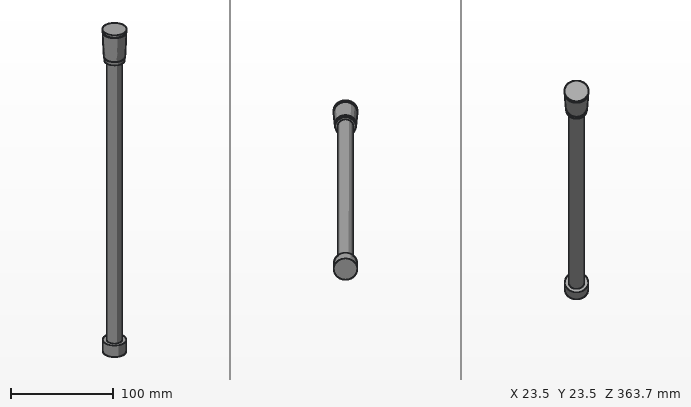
import cadquery as cq

total_length = 363.7
rod_diameter = 15.3

collar_diameter = 23.0
collar_height = 13.0

cap_diameter = 23.5
cap_height = 3.0
groove_diameter = 23.0
groove_width = 0.7
sleeve_top_diameter = 23.3
sleeve_bottom_diameter = 21.0
sleeve_bulge = 0.1
sleeve_length = 27.5
ring_diameter = 20.0
ring_height = 4.0

cap_bottom = total_length - cap_height
sleeve_top = cap_bottom - groove_width
sleeve_bottom = sleeve_top - sleeve_length
ring_bottom = sleeve_bottom - ring_height


def disc(diameter, bottom, top):
    """Solid cylinder on the Z axis between two levels."""
    return cq.Workplane("XY").workplane(offset=bottom).circle(diameter / 2).extrude(top - bottom)


def tapered_sleeve():
    """Slightly barrelled sleeve that narrows towards the rod."""
    top_radius = sleeve_top_diameter / 2
    bottom_radius = sleeve_bottom_diameter / 2
    middle_radius = (top_radius + bottom_radius) / 2 + sleeve_bulge
    middle_level = (sleeve_top + sleeve_bottom) / 2
    return (
        cq.Workplane("XZ")
        .moveTo(0, sleeve_bottom)
        .lineTo(bottom_radius, sleeve_bottom)
        .threePointArc((middle_radius, middle_level), (top_radius, sleeve_top))
        .lineTo(0, sleeve_top)
        .close()
        .revolve(360, (0, 0, 0), (0, 1, 0))
    )


collar = disc(collar_diameter, 0, collar_height)
rod = disc(rod_diameter, collar_height, ring_bottom)
ring = disc(ring_diameter, ring_bottom, sleeve_bottom)
groove_core = disc(groove_diameter, sleeve_top, cap_bottom)
cap = disc(cap_diameter, cap_bottom, total_length)

grip = cap.union(groove_core).union(tapered_sleeve()).union(ring)

result = collar.union(rod).union(grip)